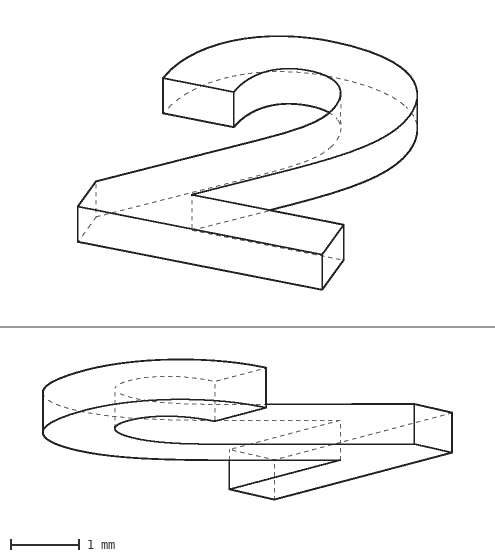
import cadquery as cq

HEIGHT = 5.61
WIDTH = 3.9
THICKNESS = 0.6

FOOT_LEFT = 0.105
FOOT_TOP = 0.89
FOOT_CORNER_Y = 0.75
INNER_CORNER_X = 1.535

TERMINAL_Y = 3.785
TERMINAL_WIDTH = 1.1
CROWN_X = 1.91
OUTER_RIGHT = (3.72, 4.07)
INNER_RIGHT = (2.62, 3.95)
INNER_TOP = 4.73

OUTER_DIAGONAL_END = (2.615, 2.03)
INNER_DIAGONAL_END = (1.915, 2.67)

OUTER_BEND = [(3.72, 3.28), (3.2, 2.665)]
OUTER_SHOULDER = [(3.06, HEIGHT), (OUTER_RIGHT[0], 5.02)]
OUTER_HOOK = [(0.03, 4.85), (0.815, HEIGHT)]
INNER_HOOK = [(1.4, INNER_TOP), (1.12, 4.35)]
INNER_SHOULDER = [(INNER_RIGHT[0], 4.43), (2.355, INNER_TOP)]
INNER_BEND = [(2.385, 3.17), (INNER_RIGHT[0], 3.505)]


def curve_to(outline, controls, end):
    """Continue the outline with a cubic curve that ends at the given point."""
    return outline.bezier([*controls, end], includeCurrent=True)


outline = (
    cq.Workplane("XY")
    .moveTo(TERMINAL_WIDTH, TERMINAL_Y)
    .lineTo(0, TERMINAL_Y)
)

outline = curve_to(outline, OUTER_HOOK, (CROWN_X, HEIGHT))
outline = curve_to(outline, OUTER_SHOULDER, OUTER_RIGHT)
outline = curve_to(outline, OUTER_BEND, OUTER_DIAGONAL_END)

outline = (
    outline
    .lineTo(INNER_CORNER_X, FOOT_TOP)
    .lineTo(WIDTH, FOOT_TOP)
    .lineTo(WIDTH, 0)
    .lineTo(FOOT_LEFT, 0)
    .lineTo(FOOT_LEFT, FOOT_CORNER_Y)
    .lineTo(*INNER_DIAGONAL_END)
)

outline = curve_to(outline, INNER_BEND, INNER_RIGHT)
outline = curve_to(outline, INNER_SHOULDER, (CROWN_X, INNER_TOP))
outline = curve_to(outline, INNER_HOOK, (TERMINAL_WIDTH, TERMINAL_Y))

result = outline.close().extrude(THICKNESS)